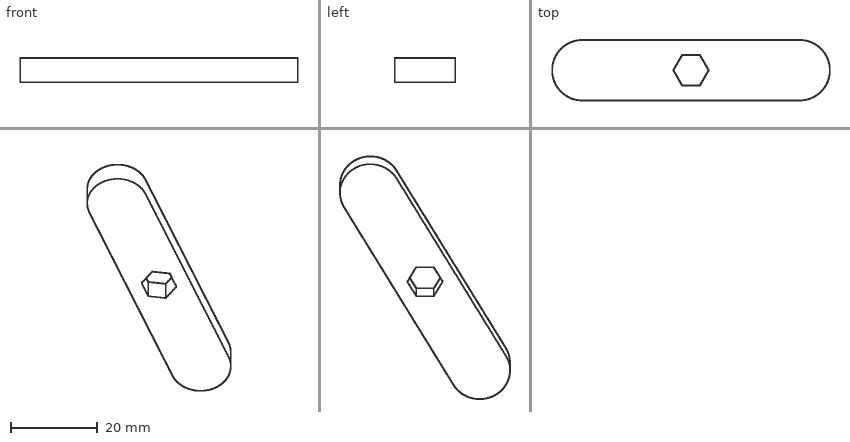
import cadquery as cq
import math

length = 64.0
width = 14.0
thickness = 5.64

hex_sides = 6
hex_across_flats = 7.0
hex_across_corners = hex_across_flats / math.cos(math.pi / hex_sides)


def rounded_bar():
    """Flat bar along X with full-radius ends, resting on Z = 0."""
    return cq.Workplane("XY").slot2D(length, width).extrude(thickness)


def hex_hole():
    """Hexagonal prism that cuts through the full thickness."""
    return cq.Workplane("XY").polygon(hex_sides, hex_across_corners).extrude(thickness)


result = rounded_bar().cut(hex_hole())